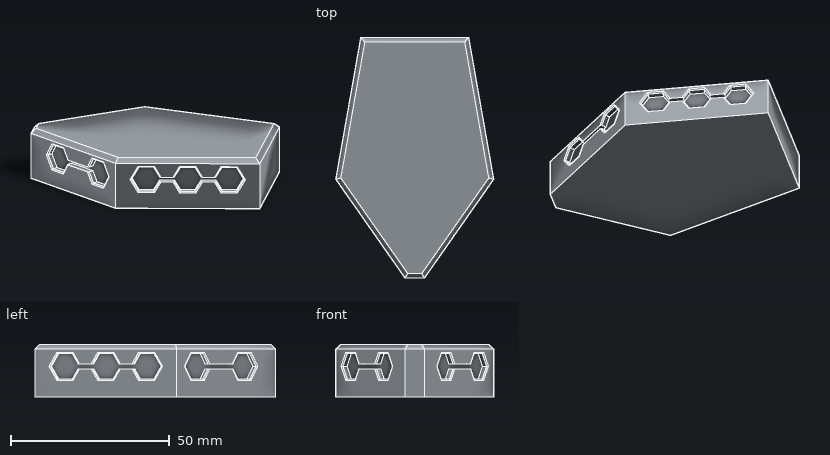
import cadquery as cq
import math

LENGTH = 75.85
WIDTH = 49.75
HEIGHT = 16.6
TIP_WIDTH = 6.1
SHOULDER_Y = 31.2
UPPER_DRAFT = 10.0
TOP_CHAMFER = 1.5

HEX_SIDES = 6
HEX_FLATS = 8.05
RIM_BEVEL = 0.4
RIM_ANGLE = 45
POCKET_DEPTH = 2.0
POCKET_Z = 9.7
SLOT_WIDTH = 1.6
LONG_SIDE_PITCH = 13.05
LONG_SIDE_COUNT = 3
SHORT_SIDE_PITCH = 18.0
SHORT_SIDE_COUNT = 2
SHORT_SIDE_SHIFT = 2.0

back_half_width = WIDTH / 2 - (LENGTH - SHOULDER_Y) * math.tan(math.radians(UPPER_DRAFT))
tip = (TIP_WIDTH / 2, 0)
shoulder = (WIDTH / 2, SHOULDER_Y)
back = (back_half_width, LENGTH)


def mirrored(point):
    return (-point[0], point[1])


def make_plate():
    right_side = [tip, shoulder, back]
    left_side = [mirrored(point) for point in reversed(right_side)]
    plate = cq.Workplane("XY").polyline(right_side + left_side).close().extrude(HEIGHT)
    return plate.faces(">Z").chamfer(TOP_CHAMFER)


def hexagons(plane, positions, across_flats):
    corner_diameter = across_flats / math.cos(math.pi / HEX_SIDES)
    return cq.Workplane(plane).pushPoints(positions).polygon(HEX_SIDES, corner_diameter)


def pocket_row(start, end, count, pitch, shift=0.0):
    """Cutter for a row of pockets on the right-hand side face from start to end."""
    run_x = end[0] - start[0]
    run_y = end[1] - start[1]
    side_length = math.hypot(run_x, run_y)
    middle = side_length / 2 + shift
    center_x = start[0] + run_x * middle / side_length
    center_y = start[1] + run_y * middle / side_length
    plane = cq.Plane(
        origin=(center_x, center_y, POCKET_Z),
        xDir=(run_x, run_y, 0),
        normal=(-run_y, run_x, 0),
    )
    row_length = (count - 1) * pitch
    positions = [(i * pitch - row_length / 2, 0) for i in range(count)]

    pockets = hexagons(plane, positions, HEX_FLATS).extrude(POCKET_DEPTH)
    rims = hexagons(plane, positions, HEX_FLATS + 2 * RIM_BEVEL).extrude(RIM_BEVEL, taper=RIM_ANGLE)
    slot = cq.Workplane(plane).rect(row_length, SLOT_WIDTH).extrude(POCKET_DEPTH)
    return pockets.union(rims).union(slot)


long_side_row = pocket_row(shoulder, back, LONG_SIDE_COUNT, LONG_SIDE_PITCH)
short_side_row = pocket_row(tip, shoulder, SHORT_SIDE_COUNT, SHORT_SIDE_PITCH, SHORT_SIDE_SHIFT)

result = make_plate()
for row in (long_side_row, short_side_row):
    result = result.cut(row).cut(row.mirror("YZ"))